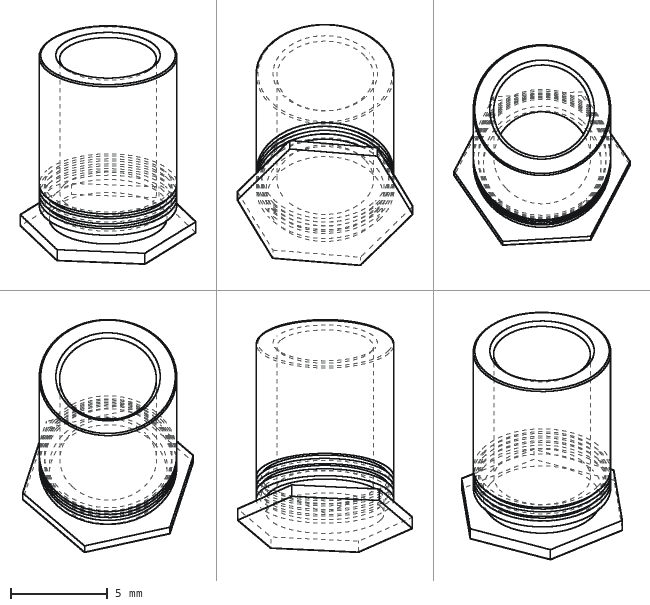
import cadquery as cq
import math

HEX_ACROSS_FLATS = 7.9
HEX_ACROSS_CORNERS = HEX_ACROSS_FLATS / math.cos(math.radians(30))
HEX_THICKNESS = 0.63

TOTAL_HEIGHT = 10.0
BARREL_DIAMETER = 7.12
BARREL_CHAMFER = 0.08
NECK_DIAMETER = 6.1
NECK_TOP = 1.38

GROOVE_DIAMETER = 6.61
GROOVE_WIDTH = 0.28
LOWER_GROOVE_BOTTOM = 1.76
GROOVE_PITCH = 0.57
GROOVE_COUNT = 2

BORE_DIAMETER = 5.0
BORE_MOUTH_DIAMETER = 5.4
MOUTH_CHAMFER = (BORE_MOUTH_DIAMETER - BORE_DIAMETER) / 2
DRILL_POINT_ANGLE = 120.0
DRILL_TIP_HEIGHT = HEX_THICKNESS


def ring(outer_diameter, inner_diameter, bottom, height):
    """Flat ring around the Z axis."""
    return (
        cq.Workplane("XY", origin=(0, 0, bottom))
        .circle(outer_diameter / 2)
        .circle(inner_diameter / 2)
        .extrude(height)
    )


def hex_flange():
    """Hexagonal plate with corners on the X axis."""
    return cq.Workplane("XY").polygon(6, HEX_ACROSS_CORNERS).extrude(HEX_THICKNESS)


def barrel():
    """Chamfered, grooved cylinder standing on a narrower neck."""
    neck = cq.Workplane("XY").circle(NECK_DIAMETER / 2).extrude(NECK_TOP)
    body = (
        cq.Workplane("XY", origin=(0, 0, NECK_TOP))
        .circle(BARREL_DIAMETER / 2)
        .extrude(TOTAL_HEIGHT - NECK_TOP)
        .faces(">Z")
        .chamfer(BARREL_CHAMFER)
    )
    for index in range(GROOVE_COUNT):
        bottom = LOWER_GROOVE_BOTTOM + index * GROOVE_PITCH
        body = body.cut(ring(BARREL_DIAMETER, GROOVE_DIAMETER, bottom, GROOVE_WIDTH))
    return body.union(neck)


def bore():
    """Revolved solid of the blind bore, its drill point and its chamfered mouth."""
    bore_radius = BORE_DIAMETER / 2
    point_depth = bore_radius / math.tan(math.radians(DRILL_POINT_ANGLE / 2))
    return (
        cq.Workplane("XZ")
        .moveTo(0, DRILL_TIP_HEIGHT)
        .lineTo(bore_radius, DRILL_TIP_HEIGHT + point_depth)
        .lineTo(bore_radius, TOTAL_HEIGHT - MOUTH_CHAMFER)
        .lineTo(BORE_MOUTH_DIAMETER / 2, TOTAL_HEIGHT)
        .lineTo(0, TOTAL_HEIGHT)
        .close()
        .revolve(360, (0, 0, 0), (0, 1, 0))
    )


result = hex_flange().union(barrel()).cut(bore())